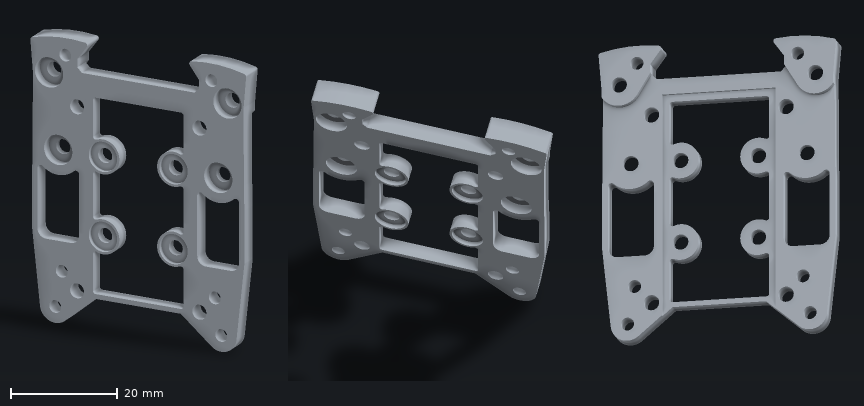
import cadquery as cq
import math

plate_thickness = 3.4
total_thickness = 4.7
total_height = 57.35

foot_x, foot_radius = 17.65, 3.25
foot_z = foot_radius
bottom_bar_x, bottom_bar_z = 9.05, 6.2
waist_x, waist_low_z, waist_high_z = 22.6, 18.4, 29.1
flank_x, flank_z = 22.5, 33.95
shoulder_x, shoulder_z = 22.45, 49.55
head_x = 23.0
crown_x, crown_radius = 15.15, 28.7
head_corner_radius = 0.5

notch_x, notch_z = 12.95, 50.95
notch_chamfer = 1.0
hook_root_z = 53.6
hook_x = 10.45

window_x, window_low_z, window_high_z = 9.65, 7.15, 46.45
window_radius = 0.6
boss_radius = 3.5
slot_inner_x, slot_outer_x, slot_low_z = 12.55, 21.45, 16.5
slot_bottom_radius = 1.85
slot_top_radius = 0.7
slot_arch_radius = 5.0

pin_diameter = 2.5
pin_holes = [(15.55, 53.9), (16.3, 10.55), (foot_x, foot_z)]
screw_diameter = 3.0
plain_screw_holes = [(13.0, 44.0), (13.0, window_low_z)]
head_diameter = 6.0
shoulder_screw = (19.0, 49.9)
slot_screw = (17.05, 34.7)
boss_screws = [(7.5, 34.9), (7.5, 18.9)]
deep_bore_depth = 2.05
shallow_bore_depth = 0.9

pad_radius = 4.1
pad_end_z = notch_z + notch_chamfer

recess_depth = 0.6
recess_margin = 1.4

overlap = 0.6


def front_plane():
    """Sketch plane on the front face, with axes X and Z; a negative extrusion runs toward +Y."""
    return cq.Workplane("XZ")


def disc(center, radius, depth):
    return front_plane().center(*center).circle(radius).extrude(-depth)


def block(x0, x1, z0, z1, depth):
    return front_plane().moveTo(x0, z0).lineTo(x1, z0).lineTo(x1, z1).lineTo(x0, z1).close().extrude(-depth)


def tangent_point(point, center, radius, side):
    """Where a line from point touches a circle; side +1 or -1 picks one of the two tangents."""
    dx = point[0] - center[0]
    dz = point[1] - center[1]
    angle = math.atan2(dz, dx) + side * math.acos(radius / math.hypot(dx, dz))
    return (center[0] + radius * math.cos(angle), center[1] + radius * math.sin(angle))


def edge_at(body, x, z):
    """Through-thickness edge nearest to (x, z)."""
    middle = (x, total_thickness / 2, z)
    return body.edges("|Y").edges(cq.NearestToPointSelector(middle))


def crown_height(x):
    drop = crown_radius - math.sqrt(crown_radius**2 - (x - crown_x) ** 2)
    return total_height - drop


def half_outline():
    """Right half of the outline, extruded to the full thickness."""
    foot = (foot_x, foot_z)
    inner_tangent = tangent_point((bottom_bar_x, bottom_bar_z), foot, foot_radius, 1)
    outer_tangent = tangent_point((waist_x, waist_low_z), foot, foot_radius, -1)
    body = (
        front_plane()
        .moveTo(0, bottom_bar_z)
        .lineTo(bottom_bar_x, bottom_bar_z)
        .lineTo(*inner_tangent)
        .threePointArc((foot_x, foot_z - foot_radius), outer_tangent)
        .lineTo(waist_x, waist_low_z)
        .lineTo(waist_x, waist_high_z)
        .lineTo(flank_x, flank_z)
        .lineTo(shoulder_x, shoulder_z)
        .lineTo(head_x, crown_height(head_x))
        .threePointArc((crown_x, total_height), (hook_x, crown_height(hook_x)))
        .lineTo(notch_x, hook_root_z)
        .lineTo(notch_x, notch_z)
        .lineTo(0, notch_z)
        .close()
        .extrude(-total_thickness)
    )
    body = edge_at(body, head_x, crown_height(head_x)).fillet(head_corner_radius)
    body = edge_at(body, hook_x, crown_height(hook_x)).fillet(head_corner_radius)
    return edge_at(body, notch_x, notch_z).chamfer(notch_chamfer)


def thick_zone():
    """Front layer everywhere, plus the head zone that keeps the full thickness."""
    layer = block(0, head_x + overlap, 0, total_height, plate_thickness)
    bore_x, bore_z = shoulder_screw
    pad_end = (notch_x, pad_end_z)
    tangent = tangent_point(pad_end, shoulder_screw, pad_radius, 1)
    pad = (
        front_plane()
        .moveTo(bore_x + pad_radius, bore_z)
        .threePointArc((bore_x, bore_z - pad_radius), tangent)
        .lineTo(*pad_end)
        .lineTo(hook_x, pad_end_z)
        .lineTo(hook_x, total_height)
        .lineTo(bore_x + pad_radius, total_height)
        .close()
        .extrude(-total_thickness)
    )
    return layer.union(pad)


def half_window():
    """Central opening with the screw bosses left standing; it runs past the middle plane."""
    window = block(-overlap, window_x, window_low_z, window_high_z, total_thickness)
    for center in boss_screws:
        window = window.cut(disc(center, boss_radius, total_thickness))
    corners = cq.selectors.BoxSelector(
        (0, 0, 0), (window_x + overlap, total_thickness, total_height)
    )
    return window.edges("|Y").edges(corners).fillet(window_radius)


def side_slot():
    """Opening in the side rail, arched around the screw above it."""
    slot = block(slot_inner_x, slot_outer_x, slot_low_z, slot_screw[1], total_thickness)
    slot = slot.edges("|Y and <Z").fillet(slot_bottom_radius)
    slot = slot.cut(disc(slot_screw, slot_arch_radius, total_thickness))
    for x in (slot_inner_x, slot_outer_x):
        slot = edge_at(slot, x, slot_screw[1]).fillet(slot_top_radius)
    return slot


def back_recess():
    """Shallow step around the window that also thins the bosses and the whole bottom bar."""
    width = window_x + recess_margin
    floor_y = plate_thickness - recess_depth
    recess = block(-overlap, width, 0, window_high_z + recess_margin, recess_depth)
    return recess.translate((0, floor_y, 0))


half = half_outline().intersect(thick_zone()).cut(half_window()).cut(side_slot()).cut(back_recess())

for center in pin_holes:
    half = half.cut(disc(center, pin_diameter / 2, total_thickness))
for center in plain_screw_holes + boss_screws + [shoulder_screw, slot_screw]:
    half = half.cut(disc(center, screw_diameter / 2, total_thickness))
for center in [shoulder_screw, slot_screw]:
    half = half.cut(disc(center, head_diameter / 2, deep_bore_depth))
for center in boss_screws:
    half = half.cut(disc(center, head_diameter / 2, shallow_bore_depth))

result = half.union(half.mirror("YZ"))